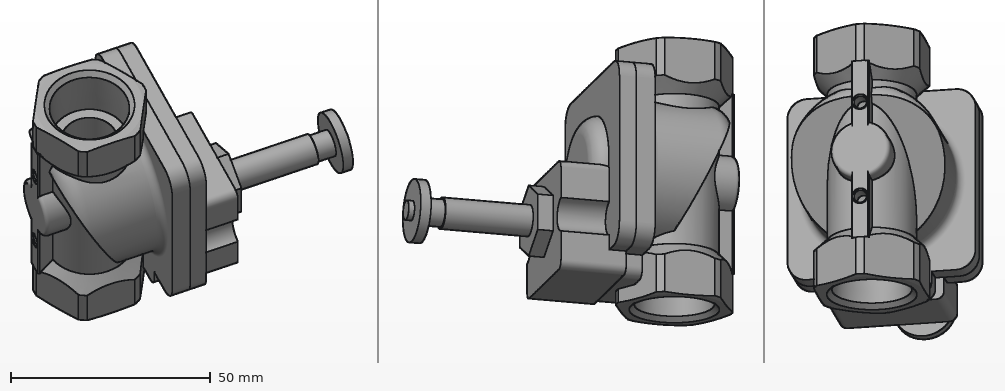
import cadquery as cq
import math

port_half_length = 33.5
hex_flats = 27.0
hex_corner_radius = 15.0
hex_start = 23.4
end_chamfer_height = 0.3
neck_radius = 11.2
passage_radius = 7.0
thread_depth = 13.5
thread_mouth_radius = 10.0
thread_root_radius = 9.7
thread_chamfer_radius = 11.3
thread_chamfer_depth = thread_chamfer_radius - thread_mouth_radius

chamber_radius = 19.5
chamber_floor_y = -12.0
chamber_floor_fillet = 5.0
chamber_flare = 2.0
slant_angle = 25.6
slant_top_y = -11.95
slant_top_z = 15.3

flange_size = 48.0
flange_corner_radius = 5.0
flange_bottom_y = 12.1
split_y = 17.0
flange_top_y = 21.4

block_width = 30.0
block_top_z = -1.4
block_bottom_z = -29.7
block_end_y = 34.0
block_corner_radius = 2.0
tab_width = 25.6
tab_corner_radius = 2.6
groove_radius = 4.5
groove_axis_x = 16.1
groove_axis_z = -15.8

rib_half_width = 2.25
rib_face_y = -hex_corner_radius
rib_chamfer_width = 0.25
rib_chamfer_depth = 0.5
boss_radius = 7.5
boss_fillet = 1.0
mount_hole_z = 12.5
mount_hole_radius = 3.24 / 2
mount_hole_mouth_radius = 2.0
mount_hole_depth = 4.5
mount_hole_mouth_depth = mount_hole_mouth_radius - mount_hole_radius
drill_tip_angle = 140.0

dome_radius = 14.75
dome_fillet = 5.0
dome_top_y = 25.5

tube_z = -13.5
nut_flats = 16.0
nut_end_y = 38.0
tube_radius = 4.0
tube_end_y = 60.8
tube_neck_radius = 3.5
disc_radius = 8.0
disc_start_y = 65.8
disc_end_y = 68.5
tip_radius = 2.5
tip_end_y = 70.0


def hex_diameter(flats):
    """Diameter across the corners of a hexagon with the given width across flats."""
    return flats / math.cos(math.radians(30))


def y_sketch(start_y, x=0.0, z=0.0):
    """Workplane at start_y with local axes X and Z; a negative extrusion runs toward +Y."""
    return cq.Workplane("XZ", origin=(x, start_y, z))


def y_cylinder(radius, start_y, end_y, x=0.0, z=0.0):
    return y_sketch(start_y, x, z).circle(radius).extrude(start_y - end_y)


def flange_plate(start_y, end_y):
    plate = y_sketch(start_y).rect(flange_size, flange_size).extrude(start_y - end_y)
    return plate.edges("|Y").fillet(flange_corner_radius)


def pilot_block(start_y, end_y, width, corner_radius):
    """Rounded block between the given Y positions, shared by the cover and the body tab."""
    centre_z = (block_top_z + block_bottom_z) / 2
    height = block_top_z - block_bottom_z
    block = y_sketch(start_y, z=centre_z).rect(width, height).extrude(start_y - end_y)
    return block.edges("|Y").fillet(corner_radius)


def port_end():
    """Upper hexagon: corners turned to a cylinder, coned to the neck, chamfered at the mouth."""
    prism = (
        cq.Workplane("XY")
        .polygon(6, hex_diameter(hex_flats))
        .extrude(port_half_length)
        .rotate((0, 0, 0), (0, 0, 1), 30)
    )
    cone_height = hex_corner_radius - neck_radius
    turned = (
        cq.Workplane("XZ")
        .moveTo(0, hex_start - cone_height)
        .lineTo(neck_radius, hex_start - cone_height)
        .lineTo(hex_corner_radius, hex_start)
        .lineTo(hex_corner_radius, port_half_length - end_chamfer_height)
        .lineTo(hex_flats / 2, port_half_length)
        .lineTo(0, port_half_length)
        .close()
        .revolve(360, (0, 0), (0, 1))
    )
    return prism.intersect(turned)


def port_bore():
    """Upper half of the flow passage with its tapered thread bore and mouth chamfer."""
    return (
        cq.Workplane("XZ")
        .lineTo(passage_radius, 0)
        .lineTo(passage_radius, port_half_length - thread_depth)
        .lineTo(thread_root_radius, port_half_length - thread_depth)
        .lineTo(thread_mouth_radius, port_half_length - thread_chamfer_depth)
        .lineTo(thread_chamfer_radius, port_half_length)
        .lineTo(0, port_half_length)
        .close()
        .revolve(360, (0, 0), (0, 1))
    )


def chamber():
    """Round chamber flaring into the flange, with its outer face cut by a slanted plane."""
    wall_start_y = chamber_floor_y + chamber_floor_fillet
    turned = (
        cq.Workplane("XY")
        .moveTo(0, chamber_floor_y)
        .lineTo(chamber_radius - chamber_floor_fillet, chamber_floor_y)
        .radiusArc((chamber_radius, wall_start_y), -chamber_floor_fillet)
        .lineTo(chamber_radius, flange_bottom_y - chamber_flare)
        .radiusArc((chamber_radius + chamber_flare, flange_bottom_y), chamber_flare)
        .lineTo(0, flange_bottom_y)
        .close()
        .revolve(360, (0, 0), (0, 1))
    )
    cutter_size = 3 * chamber_radius
    cutter = (
        cq.Workplane("XY")
        .box(cutter_size, cutter_size, 2 * cutter_size, centered=(True, False, True))
        .translate((0, -cutter_size, 0))
        .rotate((0, 0, 0), (1, 0, 0), slant_angle)
        .translate((0, slant_top_y, slant_top_z))
    )
    return turned.cut(cutter)


def mounting_rib():
    return (
        cq.Workplane("XY")
        .workplane(offset=-hex_start)
        .moveTo(-rib_half_width, 0)
        .lineTo(-rib_half_width, rib_face_y + rib_chamfer_depth)
        .lineTo(-rib_half_width + rib_chamfer_width, rib_face_y)
        .lineTo(rib_half_width - rib_chamfer_width, rib_face_y)
        .lineTo(rib_half_width, rib_face_y + rib_chamfer_depth)
        .lineTo(rib_half_width, 0)
        .close()
        .extrude(2 * hex_start)
    )


def mount_hole(z):
    """Blind hole with a 45 degree mouth chamfer and a conical drill tip."""
    bottom_y = rib_face_y + mount_hole_depth
    tip_length = mount_hole_radius / math.tan(math.radians(drill_tip_angle / 2))
    return (
        cq.Workplane("XY", origin=(0, 0, z))
        .moveTo(0, rib_face_y)
        .lineTo(mount_hole_mouth_radius, rib_face_y)
        .lineTo(mount_hole_radius, rib_face_y + mount_hole_mouth_depth)
        .lineTo(mount_hole_radius, bottom_y)
        .lineTo(0, bottom_y + tip_length)
        .close()
        .revolve(360, (0, 0), (0, 1))
    )


def make_valve_body():
    upper_port = port_end()
    boss = y_cylinder(boss_radius, rib_face_y, 0).faces("<Y").edges().fillet(boss_fillet)
    neck = cq.Workplane("XY").circle(neck_radius).extrude(hex_start, both=True)
    body = (
        chamber()
        .union(flange_plate(flange_bottom_y, split_y))
        .union(pilot_block(flange_bottom_y, split_y, tab_width, tab_corner_radius))
        .union(neck)
        .union(upper_port)
        .union(upper_port.mirror("XY"))
        .union(mounting_rib())
        .union(boss)
    )
    upper_bore = port_bore()
    body = body.cut(upper_bore).cut(upper_bore.mirror("XY"))
    for z in (-mount_hole_z, mount_hole_z):
        body = body.cut(mount_hole(z))
    return body


def make_cover():
    block = pilot_block(split_y, block_end_y, block_width, block_corner_radius)
    for x in (-groove_axis_x, groove_axis_x):
        block = block.cut(y_cylinder(groove_radius, flange_top_y, block_end_y, x, groove_axis_z))
    dome = y_cylinder(dome_radius, split_y, dome_top_y).faces(">Y").edges().fillet(dome_fillet)
    nut = (
        y_sketch(block_end_y)
        .polygon(6, hex_diameter(nut_flats))
        .extrude(block_end_y - nut_end_y)
        .rotate((0, 0, 0), (0, 1, 0), 30)
        .translate((0, 0, tube_z))
    )
    cover = flange_plate(split_y, flange_top_y).union(block).union(dome).union(nut)
    tube_steps = (
        (tube_radius, nut_end_y, tube_end_y),
        (tube_neck_radius, tube_end_y, disc_start_y),
        (disc_radius, disc_start_y, disc_end_y),
        (tip_radius, disc_end_y, tip_end_y),
    )
    for radius, start_y, end_y in tube_steps:
        cover = cover.union(y_cylinder(radius, start_y, end_y, z=tube_z))
    return cover


valve_body = make_valve_body()
cover = make_cover()

result = cq.Compound.makeCompound([valve_body.val(), cover.val()])